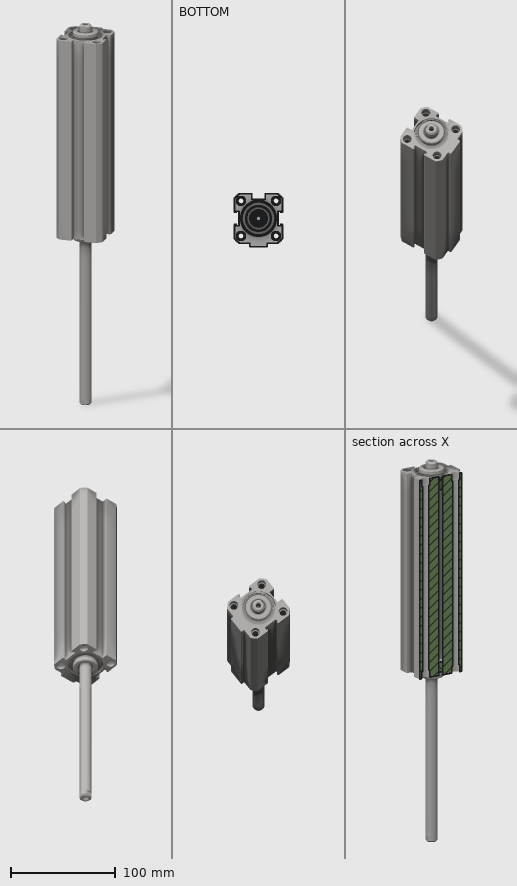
import cadquery as cq
import math

TUBE_LENGTH = 200.0
TUBE_WIDTH_X = 46.0
TUBE_WIDTH_Y = 47.5
TUBE_HALF_X = TUBE_WIDTH_X / 2
TUBE_HALF_Y = TUBE_WIDTH_Y / 2
CORNER_DIAMETER = 60.0
RAIL_HEIGHT = 3.5
RAIL_WIDTH = 16.8
RAIL_CHAMFER = 0.8
FRONT_SLOT_WIDTH = 12.5
FRONT_SLOT_FLOOR_Y = 18.5
SIDE_SLOT_MOUTH = 11.5
SIDE_SLOT_WIDTH = 13.7
SIDE_SLOT_FLOOR_X = 18.7
SIDE_SLOT_LIP = 2.0
SIDE_SLOT_CHAMFER = 0.57
BORE_DIAMETER = 34.0

HOLE_SPACING = 33.5
HOLE_DIAMETER = 6.0
COUNTERBORE_DIAMETER = 8.5
COUNTERBORE_DEPTH = 7.0

ROD_DIAMETER = 12.0
ROD_BELOW_TUBE = 170.5
ROD_LENGTH = 381.5
ROD_CHAMFER = 1.5
ROD_FLAT_DISTANCE = 5.0
ROD_FLAT_LENGTH = 5.5
THREAD_DIAMETER = 5.0
THREAD_MOUTH_DIAMETER = 6.0
THREAD_DEPTH = 11.5

COVER_RECESS = 2.3
COVER_FLANGE_LENGTH = 11.5
COVER_FLANGE_CHAMFER = 1.0
COLLAR_DIAMETER = 24.5
COLLAR_END_DIAMETER = 23.0
COLLAR_HEIGHT = 4.5
SEAL_MOUTH_DIAMETER = 16.5
SEAL_SEAT_DIAMETER = 14.0
SEAL_CHAMFER_DEPTH = 1.0
SEAL_DEPTH = 1.5
SEAL_LIP_DIAMETER = 13.7
SEAL_LIP_DEPTH = 1.0

RING_OUTER_DIAMETER = BORE_DIAMETER
RING_INNER_DIAMETER = 31.3
RING_THICKNESS = 1.0
LUG_DIAMETER = 5.0
LUG_HOLE_DIAMETER = 2.5
LUG_CIRCLE_DIAMETER = 28.5
LUG_ANGLE = 30


def cylinder(diameter, height, bottom):
    return cq.Workplane("XY").workplane(offset=bottom).circle(diameter / 2).extrude(height)


def block(x_min, x_max, y_min, y_max, height):
    """Box that stands on Z = 0."""
    box = cq.Workplane("XY").box(x_max - x_min, y_max - y_min, height, centered=False)
    return box.translate((x_min, y_min, 0))


def make_side_slot():
    """Undercut slot in the +X side, with chamfered lips."""
    half_mouth = SIDE_SLOT_MOUTH / 2
    half_inside = SIDE_SLOT_WIDTH / 2
    half_entry = half_mouth + SIDE_SLOT_CHAMFER
    lip_x = TUBE_HALF_X - SIDE_SLOT_LIP
    upper_half = [
        (TUBE_HALF_X, half_entry),
        (TUBE_HALF_X - SIDE_SLOT_CHAMFER, half_mouth),
        (lip_x, half_mouth),
        (lip_x, half_inside),
        (SIDE_SLOT_FLOOR_X, half_inside),
    ]
    lower_half = [(x, -y) for x, y in reversed(upper_half)]
    return cq.Workplane("XY").polyline(upper_half + lower_half).close().extrude(TUBE_LENGTH)


def make_tube():
    """Square tube with rounded corners, a rail on +Y and slots in the other sides."""
    body = block(-TUBE_HALF_X, TUBE_HALF_X, -TUBE_HALF_Y, TUBE_HALF_Y, TUBE_LENGTH)
    body = body.intersect(cylinder(CORNER_DIAMETER, TUBE_LENGTH, 0))

    rail = block(-RAIL_WIDTH / 2, RAIL_WIDTH / 2, 0, TUBE_HALF_Y + RAIL_HEIGHT, TUBE_LENGTH)
    body = body.union(rail.edges("|Z and >Y").chamfer(RAIL_CHAMFER))

    half_slot = FRONT_SLOT_WIDTH / 2
    body = body.cut(block(-half_slot, half_slot, -TUBE_HALF_Y, -FRONT_SLOT_FLOOR_Y, TUBE_LENGTH))
    side_slot = make_side_slot()
    body = body.cut(side_slot).cut(side_slot.mirror("YZ"))

    body = body.cut(cylinder(BORE_DIAMETER, TUBE_LENGTH, 0))

    holes = cq.Workplane("XY").rect(HOLE_SPACING, HOLE_SPACING, forConstruction=True).vertices()
    body = body.cut(holes.circle(HOLE_DIAMETER / 2).extrude(TUBE_LENGTH))
    counterbores = holes.circle(COUNTERBORE_DIAMETER / 2).extrude(COUNTERBORE_DEPTH)
    body = body.cut(counterbores)
    return body.cut(counterbores.translate((0, 0, TUBE_LENGTH - COUNTERBORE_DEPTH)))


def make_rod():
    """Rod with a chamfer, a wrench flat and a threaded hole at each end."""
    bottom = -ROD_BELOW_TUBE
    top = bottom + ROD_LENGTH
    rod = cylinder(ROD_DIAMETER, ROD_LENGTH, bottom).faces("<Z or >Z").chamfer(ROD_CHAMFER)
    flat_cut = block(-ROD_DIAMETER, ROD_DIAMETER, -ROD_DIAMETER, -ROD_FLAT_DISTANCE, ROD_FLAT_LENGTH)
    mouth_depth = (THREAD_MOUTH_DIAMETER - THREAD_DIAMETER) / 2
    for flat_z in (bottom, top - ROD_FLAT_LENGTH):
        rod = rod.cut(flat_cut.translate((0, 0, flat_z)))
    for thread_z, face in ((bottom, "<Z"), (top - THREAD_DEPTH, ">Z")):
        rod = rod.cut(cylinder(THREAD_DIAMETER, THREAD_DEPTH, thread_z))
        rod = rod.faces(face).edges(cq.selectors.RadiusNthSelector(0)).chamfer(mouth_depth)
    return rod


def make_upper_cover():
    """Flange that fills the bore, and a collar around the rod chamfered at both edges."""
    flange_r = BORE_DIAMETER / 2
    collar_r = COLLAR_DIAMETER / 2
    collar_end_r = COLLAR_END_DIAMETER / 2
    chamfer = collar_r - collar_end_r
    rod_r = ROD_DIAMETER / 2
    shoulder = TUBE_LENGTH - COVER_RECESS
    base = shoulder - COVER_FLANGE_LENGTH
    top = TUBE_LENGTH + COLLAR_HEIGHT
    section = [
        (rod_r, base),
        (flange_r, base),
        (flange_r, shoulder - COVER_FLANGE_CHAMFER),
        (flange_r - COVER_FLANGE_CHAMFER, shoulder),
        (collar_end_r, shoulder),
        (collar_end_r, TUBE_LENGTH),
        (collar_r, TUBE_LENGTH + chamfer),
        (collar_r, top - chamfer),
        (collar_end_r, top),
        (SEAL_MOUTH_DIAMETER / 2, top),
        (SEAL_SEAT_DIAMETER / 2, top - SEAL_CHAMFER_DEPTH),
        (SEAL_SEAT_DIAMETER / 2, top - SEAL_DEPTH),
        (SEAL_LIP_DIAMETER / 2, top - SEAL_DEPTH),
        (rod_r, top - SEAL_DEPTH - SEAL_LIP_DEPTH),
    ]
    return cq.Workplane("XZ").polyline(section).close().revolve(360, (0, 0, 0), (0, 1, 0))


def make_ring():
    """Open snap ring that rests on the upper cover's flange."""
    bottom = TUBE_LENGTH - COVER_RECESS
    ring = cylinder(RING_OUTER_DIAMETER, RING_THICKNESS, bottom)
    ring = ring.cut(cylinder(RING_INNER_DIAMETER, RING_THICKNESS, bottom))
    reach = RING_OUTER_DIAMETER
    gap_x = reach * math.tan(math.radians(LUG_ANGLE))
    gap = cq.Workplane("XY").workplane(offset=bottom)
    gap = gap.polyline([(0, 0), (-gap_x, -reach), (gap_x, -reach)]).close().extrude(RING_THICKNESS)
    ring = ring.cut(gap)
    lug_circle_r = LUG_CIRCLE_DIAMETER / 2
    lug_x = lug_circle_r * math.sin(math.radians(LUG_ANGLE))
    lug_y = -lug_circle_r * math.cos(math.radians(LUG_ANGLE))
    for x in (-lug_x, lug_x):
        lug = cylinder(LUG_DIAMETER, RING_THICKNESS, bottom).translate((x, lug_y, 0))
        hole = cylinder(LUG_HOLE_DIAMETER, RING_THICKNESS, bottom).translate((x, lug_y, 0))
        ring = ring.union(lug).cut(hole)
    return ring


tube = make_tube()
rod = make_rod()
upper_cover = make_upper_cover()
lower_cover = upper_cover.mirror("XY", (0, 0, TUBE_LENGTH / 2))
ring = make_ring()

result = cq.Compound.makeCompound([tube.val(), rod.val(), upper_cover.val(), lower_cover.val(), ring.val()])